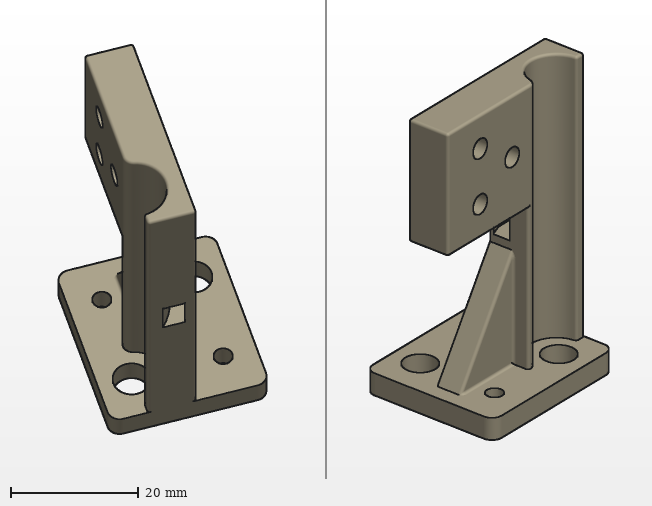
import cadquery as cq
import math

height = 55.0
right = 7.0
base_length, base_width, base_thickness = 30.0, 26.0, 4.0
base_front = -6.0
base_corner_radius = 2.0
base_hole_spacing_x, base_hole_spacing_y = 16.0, 15.0
base_large_hole, base_small_hole = 6.0, 3.0

upright_thickness = 8.0
upright_length = 34.0
block_height = 22.0
channel_radius = 5.0
channel_lead_radius = 1.7
edge_round = 0.5

mount_hole = 3.5
mount_hole_x = -11.0
mount_hole_pitch_x, mount_hole_pitch_z = 8.0, 10.0

rib_reach = 13.1
rib_top = 24.4
rib_front = 3.0

slot_bottom, slot_height = 25.95, 5.0
slot_axis_x, slot_axis_y = -0.8, -5.95
slot_inner_radius, slot_outer_radius = 11.5, 14.35

base_center_x = right - base_length / 2
base_center_y = base_front + base_width / 2
block_left = right - upright_length
block_bottom = height - block_height
post_left = -right
tolerance = 0.005


def make_base():
    """Rounded plate with a large and a small hole on each diagonal."""
    dx = base_hole_spacing_x / 2
    dy = base_hole_spacing_y / 2
    return (
        cq.Workplane("XY")
        .center(base_center_x, base_center_y)
        .rect(base_length, base_width)
        .extrude(base_thickness)
        .edges("|Z")
        .fillet(base_corner_radius)
        .faces(">Z")
        .workplane(origin=(base_center_x, base_center_y, base_thickness))
        .pushPoints([(-dx, dy), (dx, -dy)])
        .hole(base_large_hole)
        .pushPoints([(-dx, -dy), (dx, dy)])
        .hole(base_small_hole)
    )


def upright_outline():
    """Plan outline with the half-round channel and its rounded left lead-in."""
    lead_center_x = -math.sqrt(channel_radius**2 + 2 * channel_radius * channel_lead_radius)
    lead_angle = math.atan2(channel_lead_radius, -lead_center_x)
    joint_x = -channel_radius * math.cos(lead_angle)
    joint_y = channel_radius * math.sin(lead_angle)
    middle_angle = -(math.pi / 2 + lead_angle) / 2
    lead_middle = (
        lead_center_x + channel_lead_radius * math.cos(middle_angle),
        channel_lead_radius + channel_lead_radius * math.sin(middle_angle),
    )
    return (
        cq.Workplane("XY")
        .workplane(offset=base_thickness)
        .moveTo(block_left, 0)
        .lineTo(lead_center_x, 0)
        .threePointArc(lead_middle, (joint_x, joint_y))
        .threePointArc((0, channel_radius), (channel_radius, 0))
        .lineTo(right, 0)
        .lineTo(right, upright_thickness)
        .lineTo(block_left, upright_thickness)
        .close()
    )


def make_upright():
    """Channelled post and overhanging mounting block, with rounded outer edges."""
    body = upright_outline().extrude(height - base_thickness)
    below_block = cq.Workplane("XY").box(
        post_left - block_left,
        upright_thickness,
        block_bottom - base_thickness,
        centered=False,
    )
    body = body.cut(below_block.translate((block_left, 0, base_thickness)))

    def is_outer_edge(edge):
        box = edge.BoundingBox()
        on_base = box.zmax < base_thickness + tolerance
        inner_corner = (
            abs(box.xmin - post_left) + abs(box.xmax - post_left) < tolerance
            and abs(box.zmin - block_bottom) + abs(box.zmax - block_bottom) < tolerance
        )
        upright_line = box.zmax - box.zmin > tolerance
        channel_seam = upright_line and abs(box.xmin) < channel_radius - tolerance
        lead_seam = upright_line and post_left + tolerance < box.xmin < -tolerance
        return not (on_base or inner_corner or channel_seam or lead_seam)

    outer_edges = [edge for edge in body.edges().vals() if is_outer_edge(edge)]
    return body.newObject(outer_edges).fillet(edge_round)


def cut_mount_holes(body):
    """Three through holes in a triangle, centred on the block height."""
    middle = height - block_height / 2
    half_pitch = mount_hole_pitch_z / 2
    centers = [
        (mount_hole_x, middle),
        (mount_hole_x - mount_hole_pitch_x, middle + half_pitch),
        (mount_hole_x - mount_hole_pitch_x, middle - half_pitch),
    ]
    drills = (
        cq.Workplane("XZ")
        .pushPoints(centers)
        .circle(mount_hole / 2)
        .extrude(-upright_thickness)
    )
    return body.cut(drills)


def make_slot():
    """Curved strap slot passing through the post behind the channel."""
    ring = (
        cq.Workplane("XY")
        .workplane(offset=slot_bottom)
        .center(slot_axis_x, slot_axis_y)
        .circle(slot_outer_radius)
        .circle(slot_inner_radius)
        .extrude(slot_height)
    )
    behind_front_face = (
        cq.Workplane("XY")
        .box(2 * upright_length, upright_length, height, centered=(True, False, False))
    )
    return ring.intersect(behind_front_face)


def make_rib():
    """Triangular web between base and post, flush with the back of the upright."""
    overlap = 2 * edge_round
    return (
        cq.Workplane("XZ", origin=(0, rib_front, 0))
        .moveTo(post_left - rib_reach, base_thickness)
        .lineTo(post_left, rib_top)
        .lineTo(post_left + overlap, rib_top)
        .lineTo(post_left + overlap, base_thickness)
        .close()
        .extrude(rib_front - upright_thickness)
        .faces(">Y")
        .edges("not(|X or |Z)")
        .fillet(edge_round)
    )


def round_rib(body):
    """Round the sloping front edge, then blend the front face into base and post."""
    def is_front_edge(edge):
        box = edge.BoundingBox()
        in_front_plane = abs(box.ymin - rib_front) + abs(box.ymax - rib_front) < tolerance
        in_rib = box.xmax < post_left + tolerance and box.zmax < rib_top + tolerance
        return in_front_plane and in_rib

    front_edges = [edge for edge in body.edges().vals() if is_front_edge(edge)]
    return body.newObject(front_edges).fillet(edge_round)


upright = cut_mount_holes(make_upright()).cut(make_slot())
result = round_rib(make_base().union(upright).union(make_rib()))